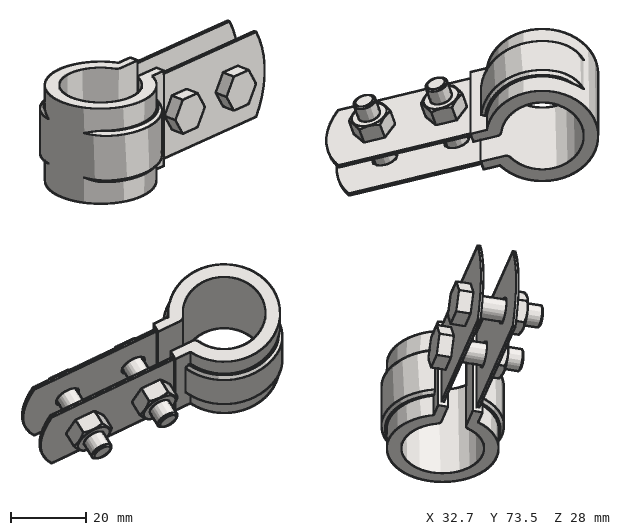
import cadquery as cq
import math

OVERALL_LENGTH = 73.5
OVERALL_WIDTH = 32.7

CUSHION_HEIGHT = 28.0
BORE_RADIUS = 11.0
RING_RADIUS = 14.9
EAR_GAP = 6.8
EAR_THICKNESS = 2.7
EAR_END_Y = 18.15
EAR_INNER_FILLET = 1.5

BAND_RADIUS = OVERALL_WIDTH / 2
BAND_HEIGHT = 15.0
BAND_CHAMFER = 0.95
BAND_FADE_START_ANGLE = 30.0
BAND_FADE_RADIUS = 10.8

STRAP_WIDTH = 25.0
STRAP_THICKNESS = 0.7
STRAP_GAP = 9.0
STRAP_END_Y = OVERALL_LENGTH - RING_RADIUS
STRAP_END_RADIUS = STRAP_WIDTH
STRAP_HOLE_DIAMETER = 7.0
STRAP_INNER_RADIUS = (BORE_RADIUS + RING_RADIUS - STRAP_THICKNESS) / 2
STRAP_OUTER_RADIUS = STRAP_INNER_RADIUS + STRAP_THICKNESS
STRAP_OUTER_X = STRAP_GAP / 2 + STRAP_THICKNESS

BOLT_PITCH = 20.0
FIRST_BOLT_Y = 25.1
BOLT_POSITIONS = [FIRST_BOLT_Y, FIRST_BOLT_Y + BOLT_PITCH]
BOLT_DIAMETER = 6.0
BOLT_TIP_DIAMETER = 4.9
BOLT_TIP_LENGTH = 0.405
BOLT_LENGTH = 20.1
HEX_FLATS = 10.0
HEX_CORNERS = HEX_FLATS / math.cos(math.radians(30))
HEAD_THICKNESS = 4.0
NUT_THICKNESS = 4.9
NUT_FACE_DIAMETER = 9.7
NUT_CHAMFER_ANGLE = 30.0


def cylinder(radius, height):
    """Cylinder on the Z axis, centred on the XY plane."""
    return cq.Workplane("XY").circle(radius).extrude(height / 2, both=True)


def slab(x_min, x_max, y_min, y_max, height):
    """Rectangular block centred on the XY plane."""
    return (
        cq.Workplane("XY")
        .moveTo((x_min + x_max) / 2, (y_min + y_max) / 2)
        .rect(x_max - x_min, y_max - y_min)
        .extrude(height / 2, both=True)
    )


def open_loop(inner_radius, outer_radius, gap, leg_thickness, leg_end_y, height):
    """Ring opened by a gap on its +Y side, with a straight leg along each side of the gap."""
    inner_x = gap / 2
    outer_x = inner_x + leg_thickness
    leg_start_y = math.sqrt(inner_radius**2 - inner_x**2)
    loop = cylinder(outer_radius, height).cut(cylinder(inner_radius, height))
    loop = loop.cut(slab(-inner_x, inner_x, 0, leg_end_y, height))
    for x_min, x_max in [(inner_x, outer_x), (-outer_x, -inner_x)]:
        loop = loop.union(slab(x_min, x_max, leg_start_y, leg_end_y, height))
    return loop


def raised_band():
    """Band, solid to its middle, whose two sides curve inward to meet the ring."""
    angle = math.radians(BAND_FADE_START_ANGLE)
    fade_start = (BAND_RADIUS * math.cos(angle), -BAND_RADIUS * math.sin(angle))
    center_distance = BAND_RADIUS - BAND_FADE_RADIUS
    fade_end_x = center_distance * math.cos(angle)
    fade_end_y = -center_distance * math.sin(angle) - BAND_FADE_RADIUS
    right_half = (
        cq.Workplane("XY")
        .moveTo(0, BAND_RADIUS)
        .threePointArc((BAND_RADIUS, 0), fade_start)
        .tangentArcPoint((fade_end_x, fade_end_y), relative=False)
        .lineTo(0, fade_end_y)
    )
    band = right_half.mirrorY().extrude(BAND_HEIGHT / 2, both=True)
    return band.faces("|Z").chamfer(BAND_CHAMFER)


def make_strap():
    strap = open_loop(
        STRAP_INNER_RADIUS, STRAP_OUTER_RADIUS, STRAP_GAP, STRAP_THICKNESS, STRAP_END_Y, STRAP_WIDTH
    )
    half_width = STRAP_WIDTH / 2
    corner_y = STRAP_END_Y - STRAP_END_RADIUS + math.sqrt(STRAP_END_RADIUS**2 - half_width**2)
    outline = (
        cq.Workplane("YZ")
        .moveTo(corner_y, -half_width)
        .threePointArc((STRAP_END_Y, 0), (corner_y, half_width))
        .lineTo(-RING_RADIUS, half_width)
        .lineTo(-RING_RADIUS, -half_width)
        .close()
        .extrude(RING_RADIUS, both=True)
    )
    holes = (
        cq.Workplane("YZ")
        .pushPoints([(y, 0) for y in BOLT_POSITIONS])
        .circle(STRAP_HOLE_DIAMETER / 2)
        .extrude(STRAP_OUTER_X, both=True)
    )
    return strap.intersect(outline).cut(holes)


def make_cushion(strap):
    cushion = open_loop(
        BORE_RADIUS, RING_RADIUS, EAR_GAP, EAR_THICKNESS, EAR_END_Y, CUSHION_HEIGHT
    )
    corner_y = math.sqrt(BORE_RADIUS**2 - (EAR_GAP / 2) ** 2)
    for x in (-EAR_GAP / 2, EAR_GAP / 2):
        corner = cq.selectors.NearestToPointSelector((x, corner_y, 0))
        cushion = cushion.edges("|Z").edges(corner).fillet(EAR_INNER_FILLET)
    ear_outer_x = EAR_GAP / 2 + EAR_THICKNESS
    band = raised_band().cut(cylinder(STRAP_INNER_RADIUS, BAND_HEIGHT))
    band = band.cut(slab(-ear_outer_x, ear_outer_x, 0, BAND_RADIUS, BAND_HEIGHT))
    return cushion.union(band).cut(strap)


def hexagon(thickness):
    """Hexagonal prism along +X with two corners in the XY plane."""
    return cq.Workplane("YZ").polygon(6, HEX_CORNERS).extrude(thickness)


def make_bolt(y):
    head = hexagon(HEAD_THICKNESS)
    shank = (
        cq.Workplane("XY")
        .lineTo(0, BOLT_DIAMETER / 2)
        .lineTo(BOLT_TIP_LENGTH - BOLT_LENGTH, BOLT_DIAMETER / 2)
        .lineTo(-BOLT_LENGTH, BOLT_TIP_DIAMETER / 2)
        .lineTo(-BOLT_LENGTH, 0)
        .close()
        .revolve(360, (0, 0, 0), (1, 0, 0))
    )
    return head.union(shank).translate((STRAP_OUTER_X, y, 0))


def make_nut(y):
    bevel_width = (HEX_CORNERS - NUT_FACE_DIAMETER) / 2
    bevel_depth = bevel_width * math.tan(math.radians(NUT_CHAMFER_ANGLE))
    envelope = (
        cq.Workplane("XY")
        .lineTo(0, HEX_CORNERS / 2)
        .lineTo(NUT_THICKNESS - bevel_depth, HEX_CORNERS / 2)
        .lineTo(NUT_THICKNESS, NUT_FACE_DIAMETER / 2)
        .lineTo(NUT_THICKNESS, 0)
        .close()
        .revolve(360, (0, 0, 0), (1, 0, 0))
    )
    bore = cq.Workplane("YZ").circle(BOLT_DIAMETER / 2).extrude(NUT_THICKNESS)
    nut = hexagon(NUT_THICKNESS).intersect(envelope).cut(bore)
    return nut.mirror("YZ").translate((-STRAP_OUTER_X, y, 0))


strap = make_strap()
cushion = make_cushion(strap)
bolts = [make_bolt(y) for y in BOLT_POSITIONS]
nuts = [make_nut(y) for y in BOLT_POSITIONS]

result = cq.Compound.makeCompound(
    [cushion.val(), strap.val()] + [body.val() for body in bolts + nuts]
)